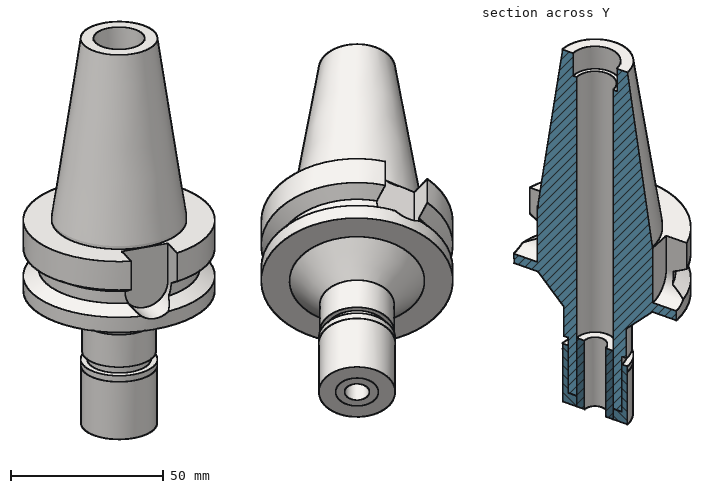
import cadquery as cq

total_height = 140.4
nut_height = 23.3
nut_collar_bottom = 21.0
nut_lip = 4.2
collet_length = 27.5
shank_bottom = 26.3
cone_bottom = 38.0
flange_bottom = 48.3
lower_rim_top = 53.8
groove_bottom = 56.5
groove_top = 60.8
upper_rim_bottom = 63.7
flange_top = 74.1
taper_bottom = 75.3

nut_collar_radius = 12.6
collar_step = 0.07
nut_radius = nut_collar_radius - collar_step
nose_radius = 10.5
shank_radius = 12.2
gauge_radius = 22.2
flange_diameter = 63.0
flange_radius = flange_diameter / 2
groove_radius = 26.5
taper_top_radius = 12.6
drawbar_bore_radius = 8.4
collet_radius = 7.0
tool_hole_radius = 4.1

drawbar_bore_depth = 9.0

slot_half_width = 8.1
slot_floor_x = 22.5
slot_bottom = 52.2


def cylinder(radius, bottom, top):
    return cq.Workplane("XY").workplane(offset=bottom).circle(radius).extrude(top - bottom)


def drive_slot(side):
    """Cutter for the slot on the +X (side = 1) or -X (side = -1) flank."""
    arc_center = slot_bottom + slot_half_width
    return (
        cq.Workplane("YZ", origin=(side * slot_floor_x, 0, 0))
        .moveTo(-slot_half_width, flange_top)
        .lineTo(-slot_half_width, arc_center)
        .threePointArc((0, slot_bottom), (slot_half_width, arc_center))
        .lineTo(slot_half_width, flange_top)
        .close()
        .extrude(side * flange_radius)
    )


def make_holder():
    """Taper, grooved flange, cone and nose, bored through along the axis."""
    outline = [
        (0, nut_lip),
        (nose_radius, nut_lip),
        (nose_radius, shank_bottom),
        (shank_radius, shank_bottom),
        (shank_radius, cone_bottom),
        (gauge_radius, flange_bottom),
        (flange_radius, flange_bottom),
        (flange_radius, lower_rim_top),
        (groove_radius, groove_bottom),
        (groove_radius, groove_top),
        (flange_radius, upper_rim_bottom),
        (flange_radius, flange_top),
        (gauge_radius, flange_top),
        (gauge_radius, taper_bottom),
        (taper_top_radius, total_height),
        (0, total_height),
    ]
    body = cq.Workplane("XZ").polyline(outline).close().revolve(360, (0, 0, 0), (0, 1, 0))
    body = body.cut(cylinder(collet_radius, nut_lip, total_height))
    body = body.cut(cylinder(drawbar_bore_radius, total_height - drawbar_bore_depth, total_height))
    for side in (-1, 1):
        body = body.cut(drive_slot(side))
    return body


def make_nut():
    """Cap around the holder nose, with a slightly proud rear collar and a lip that closes in on the collet."""
    nut = cylinder(nut_radius, 0, nut_collar_bottom)
    nut = nut.union(cylinder(nut_collar_radius, nut_collar_bottom, nut_height))
    nut = nut.cut(cylinder(nose_radius, nut_lip, nut_height))
    return nut.cut(cylinder(collet_radius, 0, nut_lip))


def make_collet():
    """Sleeve seated in the nut lip and the lower end of the holder bore."""
    return cylinder(collet_radius, 0, collet_length).cut(cylinder(tool_hole_radius, 0, collet_length))


holder = make_holder()
nut = make_nut()
collet = make_collet()

result = cq.Compound.makeCompound([holder.val(), nut.val(), collet.val()])